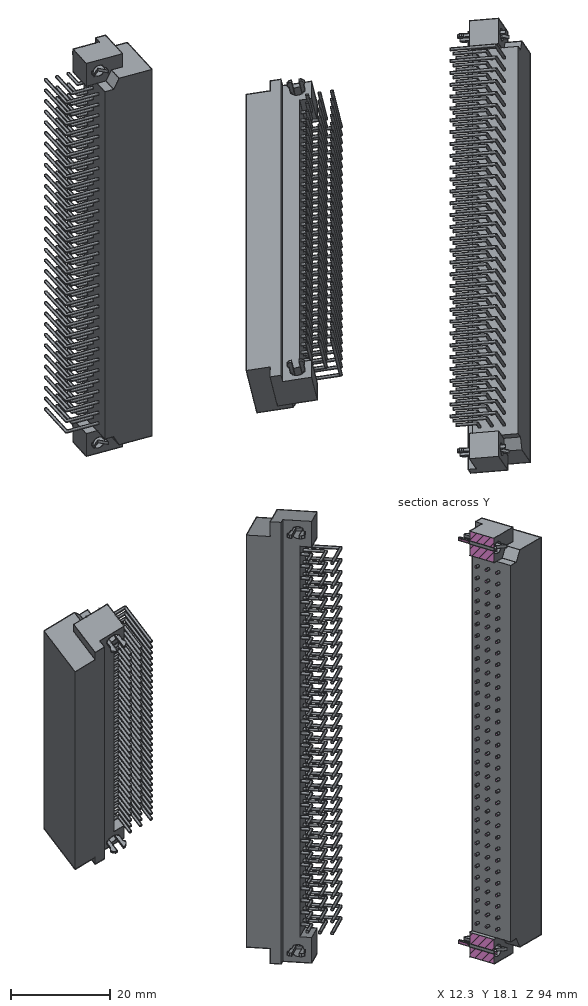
import cadquery as cq


length = 94.0
body_length = 87.7
back_face_x = 1.1
mounting_face_x = 2.8
flange_end_x = 8.8
housing_end_x = 12.3
body_back_y = 10.6
flange_back_y = 5.7
mounting_step_y = 3.5
ear_front_y = -2.4
ear_height = 5.45
relief_start_y = 3.2
relief_end_y = 2.0

hole_diameter = 2.5
hole_y = 0.4
hole_z = 44.5

pin_diameter = 0.6
pins_per_row = 32
pin_row_length = 78.8
pin_pitch = pin_row_length / (pins_per_row - 1)
row_count = 3
first_row_x = 4.3
first_row_y = -2.1
pin_root_depth = 0.9

clip_thickness = 0.7
clip_length = 10.0
stem_half_width = 1.2
prong_half_width = 1.5
barb_half_width = 1.8
barb_tip_half_width = 1.2
barb_ramp_length = 0.6
barb_flat_end_x = 0.9
barb_end_x = 1.3
slot_half_width = 0.75
slot_end_x = 4.7
head_half_width = 1.6


def box(x_range, y_range, z_range):
    """Box between two limits on each axis."""
    (x0, x1), (y0, y1), (z0, z1) = x_range, y_range, z_range
    return cq.Workplane("XY").box(x1 - x0, y1 - y0, z1 - z0, centered=False).translate((x0, y0, z0))


def make_mating_part():
    """Long bar whose front corners are relieved beyond the flanges."""
    half_body = body_length / 2
    half_inner = length / 2 - ear_height
    outline = [
        (body_back_y, half_body),
        (relief_start_y, half_body),
        (relief_end_y, half_inner),
        (0, half_inner),
        (0, -half_inner),
        (relief_end_y, -half_inner),
        (relief_start_y, -half_body),
        (body_back_y, -half_body),
    ]
    bar = cq.Workplane("YZ").polyline(outline).close().extrude(housing_end_x - back_face_x)
    return bar.translate((back_face_x, 0, 0))


def make_flange():
    """Full-length flange with an ear at each end."""
    half = length / 2
    ear_inner = half - ear_height
    flange = box((back_face_x, flange_end_x), (0, flange_back_y), (-half, half))
    for z_range in ((-half, -ear_inner), (ear_inner, half)):
        flange = flange.union(box((back_face_x, flange_end_x), (ear_front_y, 0), z_range))
    return flange


def make_pin(row, z):
    """Round pin that leaves the front face and turns a rounded right angle to the board."""
    leg_x = first_row_x + row * pin_pitch
    board_leg_y = first_row_y - row * pin_pitch
    path = (
        cq.Workplane("XY", origin=(0, 0, z))
        .moveTo(leg_x, pin_root_depth)
        .lineTo(leg_x, board_leg_y)
        .lineTo(0, board_leg_y)
    )
    section = cq.Workplane("XZ", origin=(leg_x, pin_root_depth, z)).circle(pin_diameter / 2)
    return section.sweep(path, transition="round")


def make_housing():
    """Housing with its mounting holes and moulded-in pins."""
    housing = make_mating_part().union(make_flange())
    mounting_step = box(
        (back_face_x, mounting_face_x), (ear_front_y, mounting_step_y), (-length / 2, length / 2)
    )
    holes = (
        cq.Workplane("YZ")
        .pushPoints([(hole_y, hole_z), (hole_y, -hole_z)])
        .circle(hole_diameter / 2)
        .extrude(flange_end_x)
    )
    housing = housing.cut(mounting_step).cut(holes)
    first_pin_z = -pin_row_length / 2
    pins = [
        make_pin(row, first_pin_z + index * pin_pitch).val()
        for row in range(row_count)
        for index in range(pins_per_row)
    ]
    return cq.Workplane(housing.val().fuse(*pins))


def make_clip(z):
    """Flat clip with two barbed prongs and a V-notched head, standing in a mounting hole."""
    notch_depth = head_half_width
    upper_side = [
        (slot_end_x, slot_half_width),
        (0, slot_half_width),
        (0, barb_tip_half_width),
        (barb_ramp_length, barb_half_width),
        (barb_flat_end_x, barb_half_width),
        (barb_end_x, prong_half_width),
        (mounting_face_x, prong_half_width),
        (mounting_face_x, stem_half_width),
        (flange_end_x, stem_half_width),
        (flange_end_x, head_half_width),
        (clip_length, head_half_width),
    ]
    notch_bottom = (clip_length - notch_depth, 0)
    lower_side = [(x, -y) for x, y in reversed(upper_side)]
    clip = (
        cq.Workplane("XY")
        .polyline(upper_side + [notch_bottom] + lower_side)
        .close()
        .extrude(clip_thickness / 2, both=True)
    )
    return clip.translate((0, hole_y, z))


housing = make_housing()
clips = [make_clip(z) for z in (-hole_z, hole_z)]
result = cq.Compound.makeCompound([housing.val(), *[clip.val() for clip in clips]])